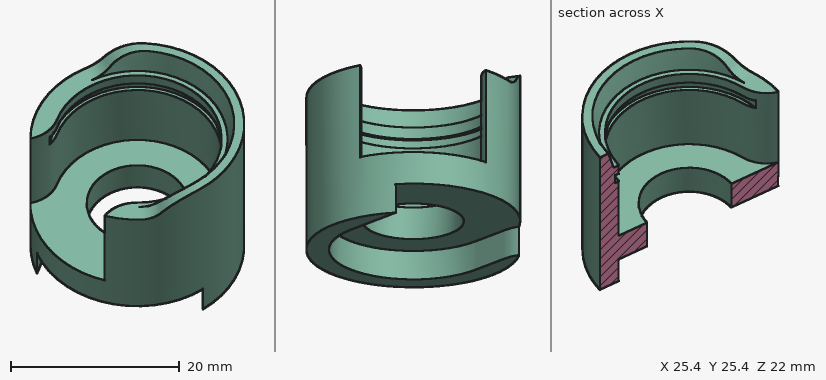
import cadquery as cq
import math

outer_radius = 25.4 / 2
total_height = 22.0
bore_radius = 10.0
hole_radius = 6.0

web_bottom = 3.6
web_thickness = 4.0
web_top = web_bottom + web_thickness
ledge_height = 19.25

seat_bottom_radius = 10.7
seat_top_radius = 11.5

groove_radius = 10.5
groove_bottom = 16.6
groove_width = 1.2

window_angle = 233.6
window_half_angle = 53.5
flare_radius = 4.4

rim_angle = 33.4
ramp_skew = 7.7
ramp_start = -1.23
ramp_foot_radius = 3.5
ramp_crest_radius = 7.0

base_flare_start = 5.3

cutter_reach = 2 * outer_radius
overcut = 1.0


def polar(radius, angle):
    """Point at a radius and an angle in degrees."""
    a = math.radians(angle)
    return (radius * math.cos(a), radius * math.sin(a))


def disc(radius, bottom, top):
    """Cylinder on the part axis between two heights."""
    return cq.Workplane("XY").workplane(offset=bottom).circle(radius).extrude(top - bottom)


def seat_cutter():
    """Cone that widens the bore from the ledge to the top."""
    return (
        cq.Workplane("XY")
        .workplane(offset=ledge_height)
        .circle(seat_bottom_radius)
        .workplane(offset=total_height - ledge_height)
        .circle(seat_top_radius)
        .loft(ruled=True)
    )


def window_cutter():
    """Window drawn around +X, then turned to its direction."""
    centre_radius = bore_radius + flare_radius
    cos_spread = (centre_radius**2 + outer_radius**2 - flare_radius**2) / (2 * centre_radius * outer_radius)
    end_angle = window_half_angle - math.degrees(math.acos(cos_spread))

    centre_x, centre_y = polar(centre_radius, window_half_angle)
    start_x, start_y = polar(bore_radius, window_half_angle)
    end_x, end_y = polar(outer_radius, end_angle)
    start_direction = math.atan2(start_y - centre_y, start_x - centre_x)
    turn = math.atan2(end_y - centre_y, end_x - centre_x) - start_direction
    turn = math.remainder(turn, 2 * math.pi)
    mid_direction = start_direction + turn / 2
    mid_x = centre_x + flare_radius * math.cos(mid_direction)
    mid_y = centre_y + flare_radius * math.sin(mid_direction)

    return (
        cq.Workplane("XY")
        .workplane(offset=web_top)
        .moveTo(0, 0)
        .lineTo(start_x, start_y)
        .threePointArc((mid_x, mid_y), (end_x, end_y))
        .lineTo(cutter_reach, end_y)
        .lineTo(cutter_reach, -end_y)
        .lineTo(end_x, -end_y)
        .threePointArc((mid_x, -mid_y), (start_x, -start_y))
        .close()
        .extrude(total_height + overcut - web_top)
        .rotate((0, 0, 0), (0, 0, 1), window_angle)
    )


def ramp_cutter(side):
    """Removes the rim above the ledge up to an S-shaped ramp; side is +1 or -1 across the rim axis."""
    rise = total_height - ledge_height
    slope = math.acos(1 - rise / (ramp_foot_radius + ramp_crest_radius))
    bend_x = ramp_start + ramp_foot_radius * math.sin(slope)
    bend_z = ledge_height + ramp_foot_radius * (1 - math.cos(slope))
    crest_x = bend_x + ramp_crest_radius * math.sin(slope)

    foot_mid = (
        ramp_start + ramp_foot_radius * math.sin(slope / 2),
        ledge_height + ramp_foot_radius * (1 - math.cos(slope / 2)),
    )
    crest_mid = (
        crest_x - ramp_crest_radius * math.sin(slope / 2),
        total_height - ramp_crest_radius * (1 - math.cos(slope / 2)),
    )
    return (
        cq.Workplane("XZ")
        .moveTo(-cutter_reach, ledge_height)
        .lineTo(ramp_start, ledge_height)
        .threePointArc(foot_mid, (bend_x, bend_z))
        .threePointArc(crest_mid, (crest_x, total_height))
        .lineTo(crest_x, total_height + overcut)
        .lineTo(-cutter_reach, total_height + overcut)
        .close()
        .extrude(-side * cutter_reach)
        .rotate((0, 0, 0), (0, 0, 1), rim_angle + side * ramp_skew)
    )


def base_opening_cutter():
    """Slot toward -Y, as wide as the recess, whose +X side ends in a quarter-round flare."""
    flare_centre_x = bore_radius + flare_radius
    flare_mid_x = flare_centre_x - flare_radius * math.sqrt(0.5)
    flare_mid_y = -base_flare_start - flare_radius * math.sqrt(0.5)
    return (
        cq.Workplane("XY")
        .moveTo(bore_radius, 0)
        .lineTo(bore_radius, -base_flare_start)
        .threePointArc((flare_mid_x, flare_mid_y), (flare_centre_x, -base_flare_start - flare_radius))
        .lineTo(flare_centre_x, -cutter_reach)
        .lineTo(-bore_radius, -cutter_reach)
        .lineTo(-bore_radius, 0)
        .close()
        .extrude(web_bottom)
    )


body = disc(outer_radius, 0, total_height)
body = body.cut(disc(hole_radius, 0, total_height))
body = body.cut(disc(bore_radius, 0, web_bottom))
body = body.cut(disc(bore_radius, web_top, total_height))
body = body.cut(disc(groove_radius, groove_bottom, groove_bottom + groove_width))
body = body.cut(seat_cutter())

body = body.cut(window_cutter())
body = body.cut(base_opening_cutter())
for side in (1, -1):
    body = body.cut(ramp_cutter(side))

result = body